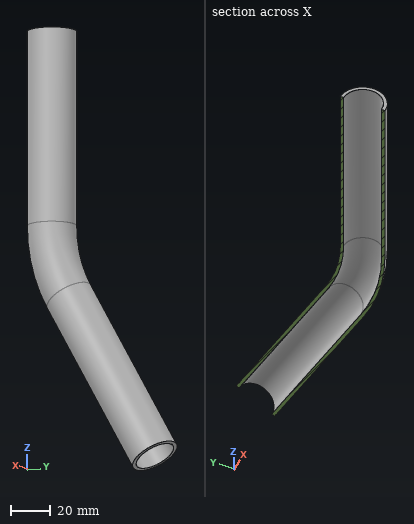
import cadquery as cq
import math

outer_diameter = 25.5
inner_diameter = 21.3

leg_length = 101.5
bend_radius = 76.3
bend_angle = 30.0


def bend_point(angle_degrees):
    """Point (y, z) on the bend centreline, measured from the end of the upper leg."""
    angle = math.radians(angle_degrees)
    y = bend_radius * (1 - math.cos(angle))
    z = -bend_radius * math.sin(angle)
    return y, z


bend_middle = bend_point(bend_angle / 2)
bend_end = bend_point(bend_angle)
slope = math.radians(bend_angle)
lower_end = (
    bend_end[0] + leg_length * math.sin(slope),
    bend_end[1] - leg_length * math.cos(slope),
)

centreline = (
    cq.Workplane("YZ")
    .moveTo(0, leg_length)
    .lineTo(0, 0)
    .threePointArc(bend_middle, bend_end)
    .lineTo(*lower_end)
)

result = (
    cq.Workplane("XY", origin=(0, 0, leg_length))
    .circle(outer_diameter / 2)
    .circle(inner_diameter / 2)
    .sweep(centreline)
)